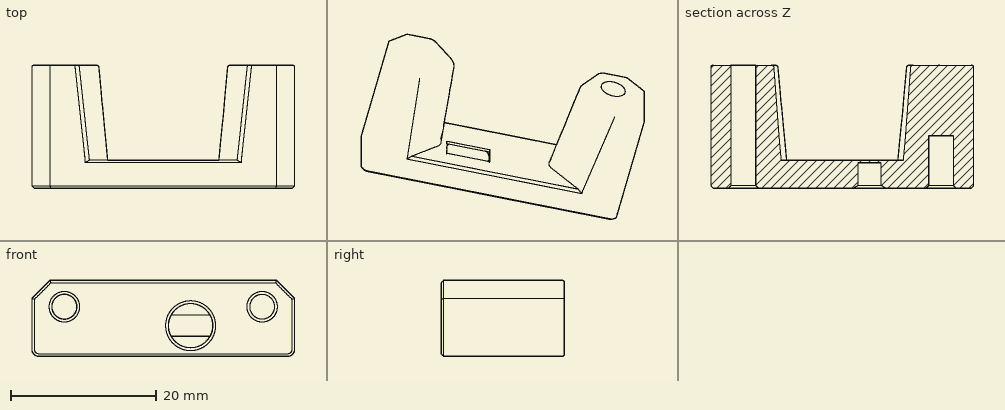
import cadquery as cq
import math

length = 36.25
depth = 17.0
height = 10.5
corner_chamfer = 2.5
bottom_radius = 0.98
edge_chamfer = 0.35
back_edge_radius = 0.33

wall_thickness = 3.9
nose_height = 5.15
underside_flare = 1.63
lip_width = 0.58
wall_lip_half = 10.2
back_lip_half = 11.6
wall_tip_half = 7.65
back_tip_half = 8.9
wall_nose_radius = 1.45
back_nose_radius = 2.99

side_hole_diameter = 3.4
side_hole_spacing = 27.25
side_hole_z = 6.85
blind_hole_depth = 7.25

recess_diameter = 6.1
recess_x = 3.77
recess_z = 4.25
recess_depth = 3.5
slot_height = 2.9
hole_chamfer = 0.4


def make_block():
    """Block with bevelled top corners and rounded bottom corners."""
    block = cq.Workplane("XY").box(length, depth, height, centered=(True, False, False))
    block = block.edges("|Y and >Z").chamfer(corner_chamfer)
    return block.edges("|Y and <Z").fillet(bottom_radius)


def nose_tangent(lip_half, tip_half, radius, up):
    """Half width and rise from the nose where the flank from a lip `up` away meets the nose arc."""
    along = lip_half - tip_half - radius
    lip_angle = math.atan2(up, along)
    normal_angle = lip_angle + math.acos(radius / math.hypot(along, up))
    centre_half = tip_half + radius
    return centre_half + radius * math.cos(normal_angle), radius * math.sin(normal_angle)


def opening_section(y, lip_half, tip_half, radius):
    """Cross-section of the opening: lips at top and bottom, a rounded nose on each arm."""
    outer_half = lip_half + lip_width
    low_lip_half = lip_half + underside_flare
    low_outer_half = outer_half + underside_flare
    upper_drop = height - edge_chamfer - nose_height
    lower_drop = nose_height - edge_chamfer
    high_half, rise = nose_tangent(lip_half, tip_half, radius, upper_drop)
    low_half, fall = nose_tangent(low_lip_half, tip_half, radius, lower_drop)
    high = nose_height + rise
    low = nose_height - fall
    section = (
        cq.Workplane("XZ", origin=(0, y, 0))
        .moveTo(-low_outer_half, 0)
        .lineTo(low_outer_half, 0)
        .lineTo(low_lip_half, edge_chamfer)
        .lineTo(low_half, low)
        .threePointArc((tip_half, nose_height), (high_half, high))
        .lineTo(lip_half, height - edge_chamfer)
        .lineTo(outer_half, height)
        .lineTo(-outer_half, height)
        .lineTo(-lip_half, height - edge_chamfer)
        .lineTo(-high_half, high)
        .threePointArc((-tip_half, nose_height), (-low_half, low))
        .lineTo(-low_lip_half, edge_chamfer)
        .close()
    )
    return section.val()


def make_opening():
    """Opening that widens from the wall towards the arm ends."""
    wall_section = opening_section(wall_thickness, wall_lip_half, wall_tip_half, wall_nose_radius)
    back_section = opening_section(depth, back_lip_half, back_tip_half, back_nose_radius)
    return cq.Workplane(cq.Solid.makeLoft([wall_section, back_section], True))


def make_wall_bevel(edge_z, inward, lip_half):
    """Triangular strip that bevels one long inner edge of the wall, mitred into the arm lips."""
    lip_outer = lip_half + lip_width
    front_y = wall_thickness - edge_chamfer
    inner_z = edge_z + inward * edge_chamfer
    front_left = cq.Vector(-lip_outer, front_y, edge_z)
    front_right = cq.Vector(lip_outer, front_y, edge_z)
    back_left = cq.Vector(-lip_outer, wall_thickness, edge_z)
    back_right = cq.Vector(lip_outer, wall_thickness, edge_z)
    inner_left = cq.Vector(-lip_half, wall_thickness, inner_z)
    inner_right = cq.Vector(lip_half, wall_thickness, inner_z)
    outlines = [
        [front_left, front_right, back_right, back_left],
        [front_left, front_right, inner_right, inner_left],
        [back_left, back_right, inner_right, inner_left],
        [front_left, back_left, inner_left],
        [front_right, back_right, inner_right],
    ]
    faces = [cq.Face.makeFromWires(cq.Wire.makePolygon(points, close=True)) for points in outlines]
    return cq.Workplane(cq.Solid.makeSolid(cq.Shell.makeShell(faces)))


def make_hole(x, z, diameter, hole_depth):
    """Hole bored from the front face with a chamfered mouth."""
    radius = diameter / 2
    front = cq.Vector(x, 0, z)
    back = cq.Vector(0, 1, 0)
    bore = cq.Solid.makeCylinder(radius, hole_depth, front, back)
    mouth = cq.Solid.makeCone(radius + hole_chamfer, radius, hole_chamfer, front, back)
    return cq.Workplane(bore.fuse(mouth))


def make_slot():
    """Flat slot joining the recess to the opening."""
    return (
        cq.Workplane("XY")
        .box(recess_diameter, wall_thickness - recess_depth, slot_height, centered=(True, False, True))
        .translate((recess_x, recess_depth, recess_z))
    )


body = make_block().cut(make_opening())
body = body.faces("<Y").edges().chamfer(edge_chamfer)
body = body.faces(">Y").edges().fillet(back_edge_radius)
result = (
    body.cut(make_wall_bevel(height, -1, wall_lip_half))
    .cut(make_wall_bevel(0, 1, wall_lip_half + underside_flare))
    .cut(make_hole(-side_hole_spacing / 2, side_hole_z, side_hole_diameter, depth))
    .cut(make_hole(side_hole_spacing / 2, side_hole_z, side_hole_diameter, blind_hole_depth))
    .cut(make_hole(recess_x, recess_z, recess_diameter, recess_depth))
    .cut(make_slot())
)